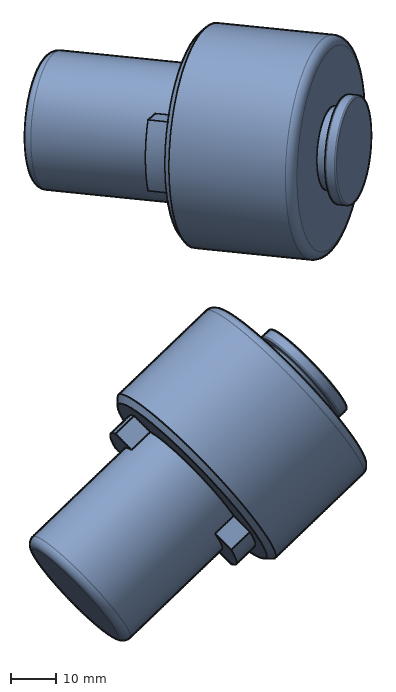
import cadquery as cq
import math

total_length = 72.1
body_start = 36.1
body_end = 66.7
flange_start = 69.4
tab_start = 30.35

shaft_diameter = 31.0
body_diameter = 50.0
neck_diameter = 18.75
flange_diameter = 24.5

shaft_fillet = 2.0
body_chamfer = 1.45
body_fillet = 2.0
flange_fillet = 0.35
neck_fillet = 0.6

tab_diameter = 40.0
tab_width = 16.4


def cylinder(start, end, diameter):
    """Solid cylinder on the X axis between two stations."""
    return cq.Workplane("YZ", origin=(start, 0, 0)).circle(diameter / 2).extrude(end - start)


shaft = cylinder(0, body_start, shaft_diameter).faces("<X").edges().fillet(shaft_fillet)

body = cylinder(body_start, body_end, body_diameter)
body = body.faces("<X").edges().chamfer(body_chamfer)
body = body.faces(">X").edges().fillet(body_fillet)

tab_length = body_start - tab_start
tab_bar = cq.Workplane("XY").box(tab_length, tab_diameter, tab_width)
tab_bar = tab_bar.translate((tab_start + tab_length / 2, 0, 0))
tabs = cylinder(tab_start, body_start, tab_diameter).intersect(tab_bar)

neck = cylinder(body_end, flange_start, neck_diameter)
flange = cylinder(flange_start, total_length, flange_diameter).edges().fillet(flange_fillet)

neck_radius = neck_diameter / 2
fillet_start = flange_start - neck_fillet
fillet_top = neck_radius + neck_fillet
arc_offset = neck_fillet * math.sqrt(0.5)
fillet_disc = (
    cq.Workplane("XY")
    .moveTo(fillet_start, 0)
    .lineTo(fillet_start, neck_radius)
    .threePointArc((fillet_start + arc_offset, fillet_top - arc_offset), (flange_start, fillet_top))
    .lineTo(flange_start, 0)
    .close()
    .revolve(360, (0, 0, 0), (1, 0, 0))
)

result = shaft.union(body).union(tabs).union(neck).union(flange).union(fillet_disc)